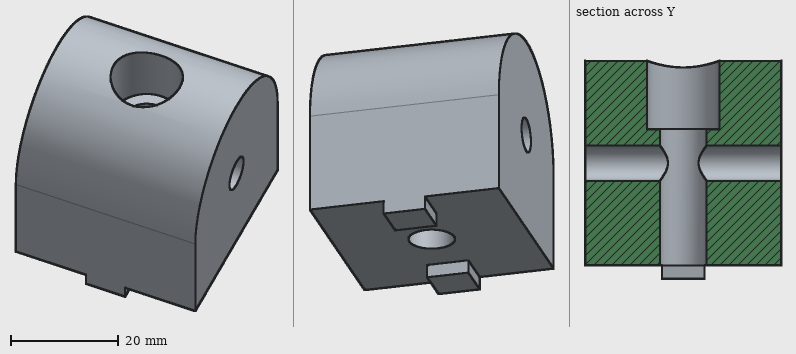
import cadquery as cq

length = 36.55
width = 38.1
total_height = 40.65

crown_radius = width / 2
body_height = width
axis_height = body_height - crown_radius

foot_height = total_height - body_height
foot_size = 7.95

cross_hole_diameter = 6.5
vertical_hole_diameter = 8.65
counterbore_diameter = 13.45
counterbore_depth = 12.7


def make_body():
    """Arch-shaped block centred on X and Y, with its underside at Z = 0."""
    return (
        cq.Workplane("YZ")
        .moveTo(-width / 2, 0)
        .lineTo(width / 2, 0)
        .lineTo(width / 2, axis_height)
        .threePointArc((0, body_height), (-width / 2, axis_height))
        .close()
        .extrude(length / 2, both=True)
    )


def make_feet():
    """Two square feet flush with the Y sides of the body."""
    foot_offset = (width - foot_size) / 2
    return (
        cq.Workplane("XY")
        .pushPoints([(0, -foot_offset), (0, foot_offset)])
        .rect(foot_size, foot_size)
        .extrude(-foot_height)
    )


def make_cross_hole():
    """Through hole along X, on the axis of the round top."""
    return (
        cq.Workplane("YZ")
        .center(0, axis_height)
        .circle(cross_hole_diameter / 2)
        .extrude(length / 2, both=True)
    )


def make_vertical_hole():
    """Through hole along Z with a flat-bottomed counterbore from the top."""
    through = cq.Workplane("XY").circle(vertical_hole_diameter / 2).extrude(body_height)
    counterbore = (
        cq.Workplane("XY", origin=(0, 0, body_height))
        .circle(counterbore_diameter / 2)
        .extrude(-counterbore_depth)
    )
    return through.union(counterbore)


result = make_body().union(make_feet()).cut(make_cross_hole()).cut(make_vertical_hole())